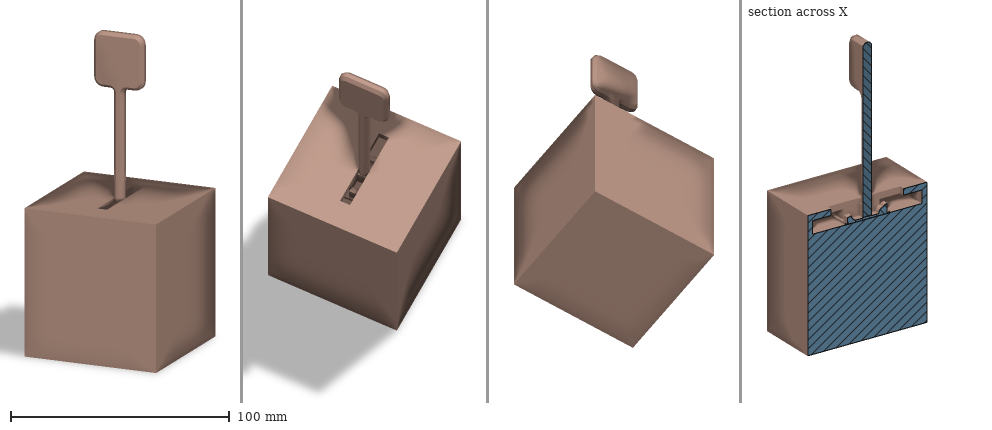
import cadquery as cq

total_height = 149.6
housing_side = 66.0
housing_height = 70.8

slot_width = 5.1
slot_length = 40.0
roof_thickness = 3.5

cavity_width = 20.0
cavity_length = 60.1
cavity_depth = 10.0
cavity_height = cavity_depth - roof_thickness
cavity_floor_z = housing_height - cavity_depth
cavity_roof_z = housing_height - roof_thickness

lever_thickness = 5.0
paddle_width = 25.0
paddle_height = 26.5
paddle_corner_radius = 4.5
stem_fillet_radius = 2.0
lever_chamfer = 1.5
neck_height = 8.4
tail_top_depth = 2.5
paddle_bottom_z = total_height - paddle_height
neck_top_z = housing_height + neck_height
tail_top_z = housing_height - tail_top_depth

frame_length = 25.0
ring_height = 1.2
channel_length = 22.3
cheek_end_y = 8.5
cheek_start_y = -channel_length / 2
sill_notch_width = 3.7

cam_length = 21.8
cam_flat_height = 1.0
cam_round_radius = 2.8
hollow_start_y = -5.8
nose_start_y = 6.3
cam_slope_drop = 0.6
cam_step_height = 0.5
cam_ramp_rise = 0.7
cam_flat_z = cavity_floor_z + cam_flat_height


def box_on(width, length, height, bottom_z):
    """Box centred on the Z axis that stands on the level bottom_z."""
    return cq.Workplane("XY", origin=(0, 0, bottom_z)).rect(width, length).extrude(height)


def make_housing():
    block = box_on(housing_side, housing_side, housing_height, 0)
    cavity = box_on(cavity_width, cavity_length, cavity_height, cavity_floor_z)
    slot = box_on(slot_width, slot_length, roof_thickness, cavity_roof_z)
    return block.cut(cavity).cut(slot)


def make_handle():
    """Paddle and stem, chamfered all round on the front and back faces."""
    paddle = (
        cq.Workplane("XY")
        .box(paddle_width, lever_thickness, paddle_height, centered=(True, True, False))
        .translate((0, 0, paddle_bottom_z))
        .edges("|Y")
        .fillet(paddle_corner_radius)
    )
    stem_height = paddle_bottom_z + paddle_corner_radius - neck_top_z
    stem = box_on(lever_thickness, lever_thickness, stem_height, neck_top_z)
    inner_corners = cq.selectors.BoxSelector(
        (-lever_thickness, -lever_thickness, paddle_bottom_z - stem_fillet_radius),
        (lever_thickness, lever_thickness, paddle_bottom_z + stem_fillet_radius),
    )
    handle = paddle.union(stem).edges("|Y").edges(inner_corners).fillet(stem_fillet_radius)
    rims = handle.faces("<Y or >Y").edges()
    stem_end = handle.faces("<Z").edges()
    return rims.newObject([e for e in rims.vals() if e not in stem_end.vals()]).chamfer(lever_chamfer)


def make_lever():
    neck = (
        cq.Workplane("XY", origin=(0, 0, tail_top_z))
        .circle(lever_thickness / 2)
        .extrude(neck_top_z - tail_top_z)
    )
    tail = box_on(lever_thickness, lever_thickness, tail_top_z - cam_flat_z, cam_flat_z)
    return make_handle().union(neck).union(tail)


def make_sill_notch():
    """Wedge that slopes the inner edge of the ring's +Y end down towards the channel."""
    inner_y = channel_length / 2
    outer_y = frame_length / 2
    top_z = cavity_floor_z + ring_height
    return (
        cq.Workplane("YZ", origin=(-sill_notch_width / 2, 0, 0))
        .polyline([(inner_y, cavity_floor_z), (outer_y, top_z), (inner_y, top_z)])
        .close()
        .extrude(sill_notch_width)
    )


def make_frame():
    ring = box_on(cavity_width, frame_length, ring_height, cavity_floor_z)
    cheek_length = cheek_end_y - cheek_start_y
    cheek_middle_y = (cheek_end_y + cheek_start_y) / 2
    cheeks = box_on(cavity_width, cheek_length, cavity_height, cavity_floor_z)
    channel = box_on(slot_width, channel_length, cavity_height, cavity_floor_z)
    notch = make_sill_notch()
    frame = ring.union(cheeks.translate((0, cheek_middle_y, 0))).cut(channel)
    return frame.cut(notch).cut(notch.mirror("XZ"))


def make_cam():
    end_y = cam_length / 2
    crest_y = hollow_start_y - cam_round_radius
    nose_top_y = nose_start_y + cam_round_radius
    round_top_z = cam_flat_z + cam_round_radius
    step_z = round_top_z + cam_step_height
    return (
        cq.Workplane("YZ", origin=(-slot_width / 2, 0, 0))
        .moveTo(-end_y, cavity_floor_z)
        .lineTo(-end_y, round_top_z - cam_slope_drop)
        .lineTo(crest_y, round_top_z)
        .radiusArc((hollow_start_y, cam_flat_z), -cam_round_radius)
        .lineTo(nose_start_y, cam_flat_z)
        .radiusArc((nose_top_y, round_top_z), cam_round_radius)
        .lineTo(nose_top_y, step_z)
        .lineTo(end_y, step_z + cam_ramp_rise)
        .lineTo(end_y, cavity_floor_z)
        .close()
        .extrude(slot_width)
    )


housing = make_housing()
lever = make_lever()
frame = make_frame()
cam = make_cam()

result = cq.Compound.makeCompound([housing.val(), lever.val(), frame.val(), cam.val()])